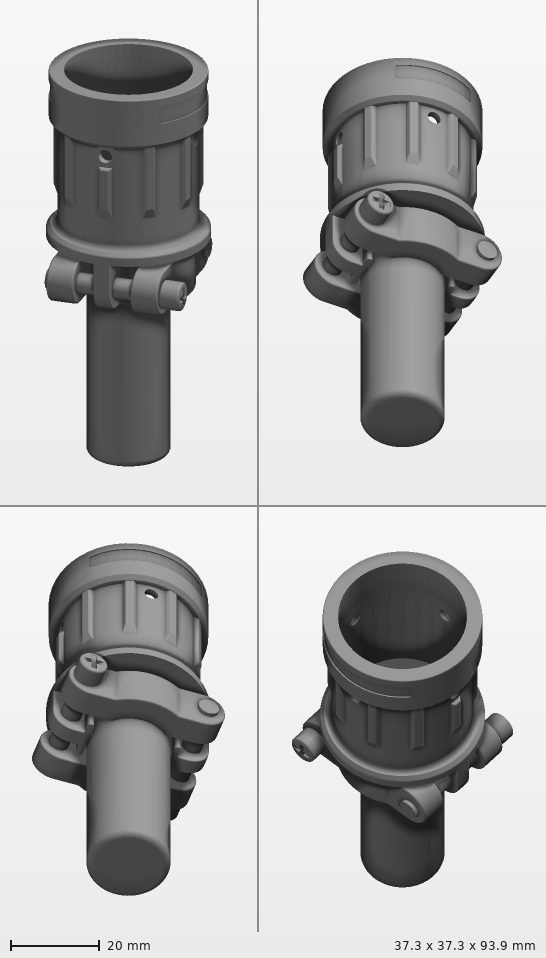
import cadquery as cq
import math

total_height = 93.9
collar_bottom = 81.7
barrel_bottom = 56.4
flange_bottom = 53.4
bore_floor = 58.2

collar_radius = 18.0
collar_top_round = 0.3
collar_bottom_chamfer = 0.9
barrel_radius = 16.1
barrel_foot_round = 1.3
flange_radius = 37.3 / 2
flange_chamfer = 0.9
flange_rim_round = 0.5
flange_overlap = 0.9
tube_radius = 19.1 / 2
tube_end_round = 1.7

bore_radius = 14.6
bore_floor_radius = 13.5
bore_entry_depth = 10.0

cross_hole_radius = 1.6
cross_hole_height = 79.0

rib_count = 10
rib_root_radius = 15.0
rib_top_radius = barrel_radius + 0.89
rib_base_width = 3.3
rib_top_width = 1.8
rib_bottom = 64.0
rib_ramp_top = 66.4
rib_edge_round = 0.4
short_rib_top = 76.3
short_rib_end_slope = 0.4

plate_bottom = 87.6
plate_height = 4.0
plate_depth = 0.3
plate_corner_round = 0.75
near_plate_angle = 64.0
far_plate_angle = 97.0

clamp_height = 10.4
clamp_bottom = 41.2
clamp_middle = clamp_bottom + clamp_height / 2
strap_inner = 6.9
strap_outer = 13.2
strap_edge_round = 0.5
saddle_root_round = 0.6
saddle_radius = 15.2
saddle_half_width = math.sqrt(saddle_radius**2 - strap_outer**2)

pad_width = 9.4
pad_thickness = 1.5
pad_offset = 10.3
tab_width = 3.85
tab_end_round = 5.1
tab_edge_round = 0.3
tab_root_round = 0.3

screw_offset = 14.4
shank_radius = 4.8 / 2
shank_tip = 14.2
head_radius = 6.7 / 2
head_end = 18.0
head_end_round = 0.6
head_dome_rise = 0.3
head_base_round = 0.6
recess_depth = 0.75
recess_arm_width = 1.3
recess_arm_reach = 2.35
recess_core_radius = 0.8


def half_turn(shape):
    """The same shape turned half way round the Z axis."""
    return shape.rotate((0, 0, 0), (0, 0, 1), 180)


def make_body():
    """Collar, barrel, flange and tube as one turned profile."""
    foot_radius = barrel_radius + barrel_foot_round
    foot_arc_middle = barrel_foot_round * (1 - math.sqrt(0.5))
    collar_foot_radius = collar_radius - collar_bottom_chamfer
    body = (
        cq.Workplane("XZ")
        .moveTo(0, 0)
        .lineTo(tube_radius, 0)
        .lineTo(tube_radius, flange_bottom)
        .lineTo(flange_radius, flange_bottom)
        .lineTo(flange_radius, barrel_bottom - flange_chamfer)
        .lineTo(flange_radius - flange_chamfer, barrel_bottom)
        .lineTo(foot_radius, barrel_bottom)
        .threePointArc(
            (barrel_radius + foot_arc_middle, barrel_bottom + foot_arc_middle),
            (barrel_radius, barrel_bottom + barrel_foot_round),
        )
        .lineTo(barrel_radius, collar_bottom)
        .lineTo(collar_foot_radius, collar_bottom)
        .lineTo(collar_radius, collar_bottom + collar_bottom_chamfer)
        .lineTo(collar_radius, total_height)
        .lineTo(0, total_height)
        .close()
        .revolve(360, (0, 0, 0), (0, 1, 0))
    )
    body = body.faces(">Z").edges().fillet(collar_top_round)
    chamfer_foot = cq.selectors.BoxSelector(
        (-flange_radius, -flange_radius, flange_bottom + flange_rim_round),
        (flange_radius, flange_radius, barrel_bottom - flange_rim_round),
    )
    body = body.edges(chamfer_foot).fillet(flange_rim_round)
    return body.faces("<Z").edges().fillet(tube_end_round)


def make_bore():
    """Blind bore, straight at the mouth and tapered below."""
    return (
        cq.Workplane("XZ")
        .moveTo(0, bore_floor)
        .lineTo(bore_floor_radius, bore_floor)
        .lineTo(bore_radius, total_height - bore_entry_depth)
        .lineTo(bore_radius, total_height)
        .lineTo(0, total_height)
        .close()
        .revolve(360, (0, 0, 0), (0, 1, 0))
    )


def make_rib(top, top_slope):
    """Rib on the +X side: trapezoid section, ramped foot and a slightly leaning top end."""
    half_base = rib_base_width / 2
    half_top = rib_top_width / 2
    foot_x = math.sqrt(barrel_radius**2 - half_base**2)
    section = (
        cq.Workplane("XY", origin=(0, 0, rib_bottom))
        .moveTo(rib_root_radius, -half_base)
        .lineTo(foot_x, -half_base)
        .lineTo(rib_top_radius, -half_top)
        .lineTo(rib_top_radius, half_top)
        .lineTo(foot_x, half_base)
        .lineTo(rib_root_radius, half_base)
        .close()
        .extrude(top - rib_bottom)
    )
    side = (
        cq.Workplane("XZ")
        .moveTo(rib_root_radius, rib_bottom)
        .lineTo(barrel_radius, rib_bottom)
        .lineTo(rib_top_radius, rib_ramp_top)
        .lineTo(rib_top_radius, top - top_slope)
        .lineTo(barrel_radius, top)
        .lineTo(rib_root_radius, top)
        .close()
        .extrude(rib_base_width, both=True)
    )
    rib = section.intersect(side)
    proud_edges = cq.selectors.BoxSelector(
        (barrel_radius + rib_edge_round / 2, -rib_base_width, rib_bottom),
        (rib_top_radius + rib_edge_round, rib_base_width, total_height),
    )
    return rib.edges(proud_edges).fillet(rib_edge_round)


def make_ribs():
    """Ribs at even pitch; the two in line with the Y cross hole stop short of it."""
    ribs = cq.Workplane("XY")
    pitch = 360 / rib_count
    for index in range(rib_count):
        is_short = index % (rib_count // 2) == 0
        if is_short:
            rib = make_rib(short_rib_top, short_rib_end_slope)
        else:
            rib = make_rib(collar_bottom + collar_bottom_chamfer, 0)
        ribs = ribs.add(rib.rotate((0, 0, 0), (0, 0, 1), index * pitch - 90))
    return ribs.combine()


def make_cross_holes():
    """Holes along X and along Y through both walls of the barrel."""
    length = 2 * flange_radius
    along_y = cq.Workplane("XZ", origin=(0, 0, cross_hole_height)).circle(cross_hole_radius)
    along_x = cq.Workplane("YZ", origin=(0, 0, cross_hole_height)).circle(cross_hole_radius)
    return along_y.extrude(length, both=True).union(along_x.extrude(length, both=True))


def make_plate_recess(angle, direction):
    """Shallow recess in the collar spanning an angle about the +X (1) or -X (-1) direction."""
    half_angle = math.radians(angle / 2)
    floor_radius = collar_radius - plate_depth
    reach = 2 * collar_radius
    ring = (
        cq.Workplane("XY", origin=(0, 0, plate_bottom))
        .circle(reach)
        .circle(floor_radius)
        .extrude(plate_height)
    )
    window = (
        cq.Workplane("YZ")
        .center(0, plate_bottom + plate_height / 2)
        .rect(2 * collar_radius * math.sin(half_angle), plate_height)
        .extrude(direction * reach)
        .edges("|X")
        .fillet(plate_corner_round)
    )
    return ring.intersect(window)


def make_strap():
    """Clamp strap on the +X side: flat lugs with round ends and a curved saddle between them."""
    lugs = (
        cq.Workplane("YZ", origin=(strap_inner, 0, clamp_middle))
        .slot2D(2 * flange_radius, clamp_height)
        .extrude(strap_outer - strap_inner)
    )
    saddle = (
        cq.Workplane("XY", origin=(0, 0, clamp_bottom))
        .moveTo(strap_inner, -saddle_half_width)
        .lineTo(strap_outer, -saddle_half_width)
        .threePointArc((saddle_radius, 0), (strap_outer, saddle_half_width))
        .lineTo(strap_inner, saddle_half_width)
        .close()
        .extrude(clamp_height)
    )
    strap = lugs.union(saddle).edges("|Z").fillet(saddle_root_round)
    strap = strap.faces("<X").edges().fillet(strap_edge_round)
    outer_faces = cq.selectors.BoxSelector(
        (strap_outer - saddle_root_round, -flange_radius, clamp_bottom),
        (saddle_radius + saddle_root_round, flange_radius, clamp_bottom + clamp_height),
    )
    return strap.faces(outer_faces).edges("not |Z").fillet(strap_edge_round)


def make_hanger():
    """Round-ended pads beside the tube and a flat tab reaching out to the flange rim along Y."""
    pads = (
        cq.Workplane("XY", origin=(0, 0, clamp_bottom))
        .pushPoints([(0, pad_offset), (0, -pad_offset)])
        .slot2D(pad_width, pad_thickness)
        .extrude(flange_bottom - clamp_bottom)
    )
    root_front = pad_offset + pad_thickness / 2
    root_middle = tab_root_round * (1 - math.sqrt(0.5))
    tab_side = tab_width / 2
    roots = (
        cq.Workplane("XY", origin=(0, 0, clamp_bottom))
        .moveTo(0, root_front + tab_root_round)
        .lineTo(tab_side, root_front + tab_root_round)
        .threePointArc(
            (tab_side + root_middle, root_front + root_middle),
            (tab_side + tab_root_round, root_front),
        )
        .lineTo(tab_side + tab_root_round, pad_offset)
        .lineTo(0, pad_offset)
        .mirrorY()
        .extrude(flange_bottom - clamp_bottom)
    )
    tab_height = flange_bottom + flange_overlap - clamp_bottom
    rim = cq.Workplane("XY", origin=(0, 0, clamp_bottom)).circle(flange_radius).extrude(tab_height)
    tab = (
        cq.Workplane("XY", origin=(0, 0, clamp_bottom))
        .rect(tab_width, 2 * flange_radius)
        .extrude(tab_height)
        .intersect(rim)
    )
    tab = tab.edges("%CIRCLE and <Z").fillet(tab_end_round)
    tab = tab.faces("<X or >X").edges().fillet(tab_edge_round)
    return pads.union(tab).union(roots).union(half_turn(roots))


def make_screw_recess():
    """Cross recess with sloping arm ends, open towards -X and centred on the X axis."""
    floor_at = -head_end + recess_depth
    opening = head_end + recess_depth
    arm = (
        cq.Workplane("XZ")
        .moveTo(-opening, -recess_arm_reach)
        .lineTo(-head_end, -recess_arm_reach)
        .lineTo(floor_at, -recess_core_radius)
        .lineTo(floor_at, recess_core_radius)
        .lineTo(-head_end, recess_arm_reach)
        .lineTo(-opening, recess_arm_reach)
        .close()
        .extrude(recess_arm_width / 2, both=True)
    )
    core = cq.Workplane("YZ", origin=(floor_at, 0, 0)).circle(recess_core_radius).extrude(-2 * recess_depth)
    return arm.union(arm.rotate((0, 0, 0), (1, 0, 0), 90)).union(core)


def make_screw():
    """Screw on the +Y side, with its head against the -X strap."""
    dome_radius = head_radius - head_end_round
    corner_inset = head_end_round * (1 - math.sqrt(0.5))
    head = (
        cq.Workplane("XY")
        .moveTo(-head_end - head_dome_rise, 0)
        .threePointArc(
            (-head_end - head_dome_rise * 0.75, dome_radius / 2),
            (-head_end, dome_radius),
        )
        .threePointArc(
            (-head_end + corner_inset, head_radius - corner_inset),
            (-head_end + head_end_round, head_radius),
        )
        .lineTo(-strap_outer, head_radius)
        .lineTo(-strap_outer, 0)
        .close()
        .revolve(360, (0, 0, 0), (1, 0, 0))
    )
    head = head.faces(">X").edges().fillet(head_base_round)
    shank = cq.Workplane("YZ", origin=(-strap_outer, 0, 0)).circle(shank_radius)
    screw = head.union(shank.extrude(strap_outer + shank_tip)).cut(make_screw_recess())
    return screw.translate((0, screw_offset, clamp_middle))


strap = make_strap()
screw = make_screw()

result = make_body().union(make_ribs())
result = result.cut(make_bore()).cut(make_cross_holes())
result = result.cut(make_plate_recess(near_plate_angle, -1))
result = result.cut(make_plate_recess(far_plate_angle, 1))
result = result.union(make_hanger())
for piece in (strap, screw):
    result = result.union(piece).union(half_turn(piece))